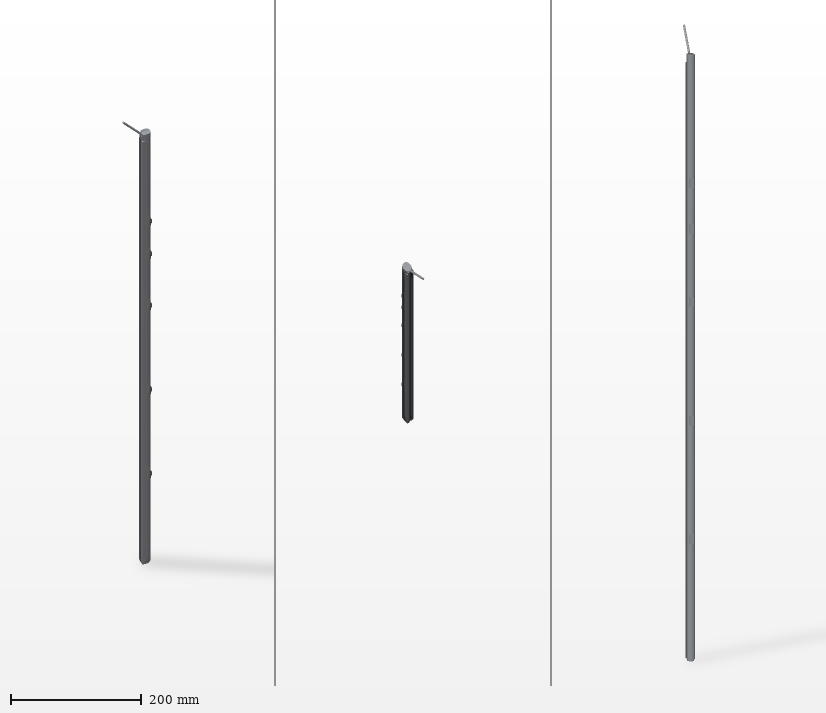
import cadquery as cq
import math

total_height = 986.0
total_reach = 49.0
half_width = 6.0
bar_depth = 16.0
front_y = -bar_depth / 2
rear_y = bar_depth / 2

foot_height = 3.0
bar_top = 934.0
cap_shoulder = 944.0
cap_top = 948.0

dome_height = 4.0
slot_half_width = 1.7
slot_depth = 2.0

end_front_half_width = 4.0
end_dome_height = 5.0
end_taper_depth = 5.0
foot_inset = 1.0

stud_reach = 2.3
stud_width = 4.0
stud_height = 9.0
base_reach = 0.5
base_width = 7.0
base_height = 15.0
lowest_stud = 191.0
stud_pitch = 185.0
pitched_stud_count = 4
extra_stud = 676.0
stud_levels = [lowest_stud + i * stud_pitch for i in range(pitched_stud_count)] + [extra_stud]

cable_radius = 1.7
cable_slope = math.radians(52)
cable_start_y = -6.0


def extrude_between(section, bottom, top):
    return section.extrude(top - bottom).translate((0, 0, bottom))


def make_bar():
    side_rear = rear_y - dome_height
    slot_floor = front_y + slot_depth
    section = (
        cq.Workplane("XY")
        .moveTo(half_width, side_rear)
        .threePointArc((0, rear_y), (-half_width, side_rear))
        .lineTo(-half_width, front_y)
        .lineTo(-slot_half_width, front_y)
        .lineTo(-slot_half_width, slot_floor)
        .lineTo(slot_half_width, slot_floor)
        .lineTo(slot_half_width, front_y)
        .lineTo(half_width, front_y)
        .close()
    )
    return extrude_between(section, foot_height, bar_top)


def make_end_piece(bottom, top, inset=0.0, round_front=False):
    """Plate with a domed rear and either a round or a chamfered front."""
    side = half_width - inset
    front = front_y + inset
    rear = rear_y - inset
    side_front = front + end_taper_depth
    side_rear = rear - end_dome_height
    section = (
        cq.Workplane("XY")
        .moveTo(side, side_rear)
        .threePointArc((0, rear), (-side, side_rear))
        .lineTo(-side, side_front)
    )
    if round_front:
        section = section.threePointArc((0, front), (side, side_front))
    else:
        section = (
            section.lineTo(-end_front_half_width, front)
            .lineTo(end_front_half_width, front)
            .lineTo(side, side_front)
        )
    return extrude_between(section.close(), bottom, top)


def make_block(width, height, reach, level):
    """Block centred on the level, from inside the bar to `reach` behind it."""
    depth = dome_height + reach
    block = cq.Workplane("XY").box(width, depth, height)
    return block.translate((0, rear_y + reach - depth / 2, level))


def make_stud(level):
    pin = make_block(stud_width, stud_height, stud_reach, level)
    base = make_block(base_width, base_height, base_reach, level)
    return base.union(pin)


def make_cable():
    tip_y = rear_y + stud_reach - total_reach + cable_radius * math.sin(cable_slope)
    tip_z = total_height - cable_radius * math.cos(cable_slope)
    length = (cable_start_y - tip_y) / math.cos(cable_slope)
    inward = (0, math.cos(cable_slope), -math.sin(cable_slope))
    tip = cq.Plane(origin=(0, tip_y, tip_z), xDir=(1, 0, 0), normal=inward)
    return cq.Workplane(tip).circle(cable_radius).extrude(length)


result = make_bar()
result = result.union(make_end_piece(0, foot_height, inset=foot_inset))
result = result.union(make_end_piece(bar_top, cap_shoulder))
result = result.union(make_end_piece(cap_shoulder, cap_top, round_front=True))
for stud_level in stud_levels:
    result = result.union(make_stud(stud_level))
result = result.union(make_cable())